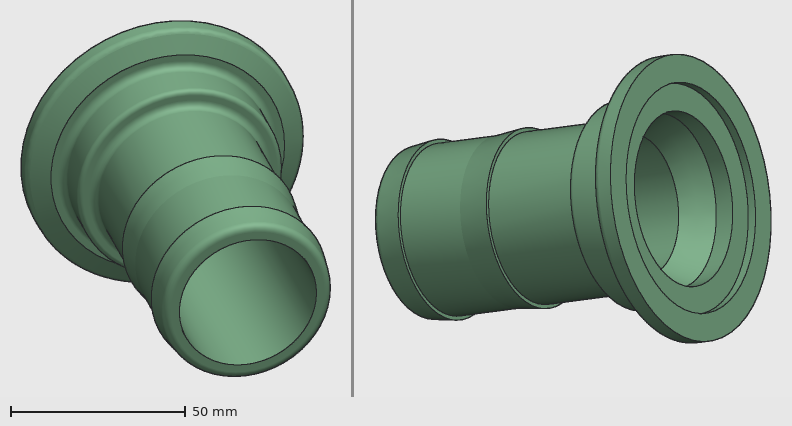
import cadquery as cq

length = 93.2

flange_radius = 83.1 / 2
rim_edge = 5.4
rim_fillet = 2.0
flange_width = 8.3
flange_back_radius = 34.9

collar_radius = 61.0 / 2
collar_end = 21.9
collar_edge_fillet = 1.5
neck_fillet = 2.2

tail_radius = 50.1 / 2
barb_radius = 26.2
barb_start = 53.1
barb_end = 62.9
tip_barb_start = 83.6
tip_radius = 24.9
tip_fillet = 2.2

recess_radius = 66.8 / 2
recess_depth = 2.5
inlet_radius = 50.8 / 2
inlet_end = 8.2
bore_radius = 40.9 / 2
taper_end = 17.9


def revolve_about_x(points):
    """Turn a closed (x, radius) outline about the X axis."""
    return cq.Workplane("XY").polyline(points).close().revolve(360, (0, 0, 0), (1, 0, 0))


def disc_box(x, radius):
    """Select edges that fit inside a thin square box across the X axis at x."""
    half_thickness = 0.05
    return cq.selectors.BoxSelector(
        (x - half_thickness, -radius, -radius),
        (x + half_thickness, radius, radius),
        boundingbox=True,
    )


def fillet_circle(body, x, radius, fillet_radius):
    """Round the circular edge of the given radius that lies at x."""
    margin = 0.05
    circle = disc_box(x, radius + margin) - disc_box(x, radius - margin)
    return body.edges(circle).fillet(fillet_radius)


def outer_body():
    body = revolve_about_x([
        (0, 0),
        (0, flange_radius),
        (rim_edge, flange_radius),
        (flange_width, flange_back_radius),
        (flange_width, collar_radius),
        (collar_end, collar_radius),
        (collar_end, tail_radius),
        (barb_start, tail_radius),
        (barb_start, barb_radius),
        (barb_end, tail_radius),
        (tip_barb_start, tail_radius),
        (tip_barb_start, barb_radius),
        (length, tip_radius),
        (length, 0),
    ])
    body = fillet_circle(body, rim_edge, flange_radius, rim_fillet)
    body = fillet_circle(body, flange_width, collar_radius, neck_fillet)
    body = fillet_circle(body, collar_end, collar_radius, collar_edge_fillet)
    body = fillet_circle(body, collar_end, tail_radius, neck_fillet)
    return fillet_circle(body, length, tip_radius, tip_fillet)


def bore():
    return revolve_about_x([
        (0, 0),
        (0, recess_radius),
        (recess_depth, recess_radius),
        (recess_depth, inlet_radius),
        (inlet_end, inlet_radius),
        (taper_end, bore_radius),
        (length, bore_radius),
        (length, 0),
    ])


result = outer_body().cut(bore())